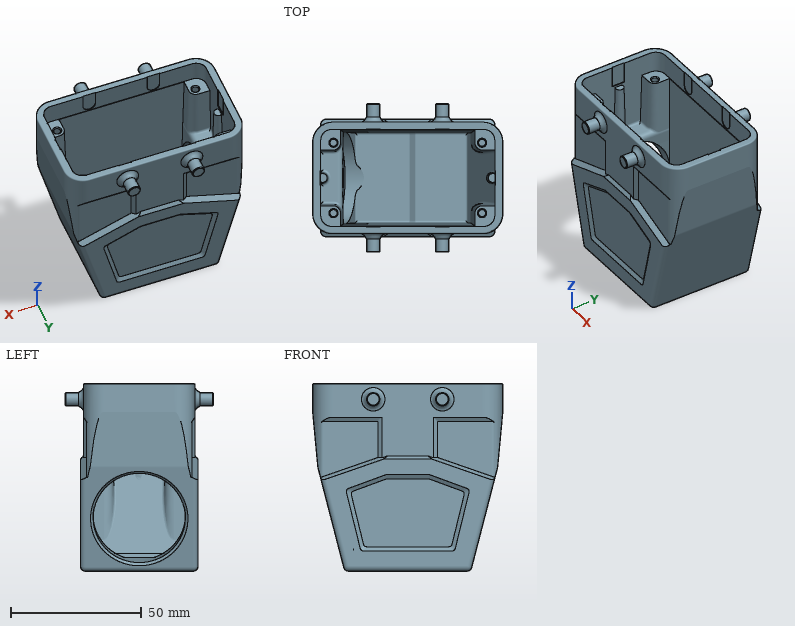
import cadquery as cq
import math

HEIGHT = 72.0
UPPER_HALF_X = 36.5
UPPER_HALF_Y = 21.4
UPPER_CORNER_R = 7.7
RIM_FILLET = 0.5
TAPER_START_Z = 61.0
TAPER_BEND_Z = 40.0
TAPER_BEND_R = 4.4
BOTTOM_HALF_X = 24.2
END_SLOPE = 0.2586

BLOCK_HALF_Y = 22.6
BLOCK_TOP_Z = 44.3
BLOCK_TOP_HALF_X = 9.6
SHOULDER_Z = 36.0
SHOULDER_HALF_X = BOTTOM_HALF_X + END_SLOPE * SHOULDER_Z
SHOULDER_ANGLE = math.degrees(
    math.atan((BLOCK_TOP_Z - SHOULDER_Z) / (SHOULDER_HALF_X - BLOCK_TOP_HALF_X))
)
SHOULDER_BEVEL = 1.3
BLOCK_EDGE_FILLET = 2.0

RECESS_DEPTH = 1.1
RECESS_BEVEL = 1.6
RECESS_FLOOR_Y = UPPER_HALF_Y - RECESS_DEPTH
RECESS_ANGLE = math.degrees(math.atan(RECESS_BEVEL / RECESS_DEPTH))
UPPER_RECESS_INNER_X = 9.8
UPPER_RECESS_TOP_Z = 59.1
RECESS_CORNER_R = 0.8
RECESS_OUTER_R = 1.5
PANEL_TOP_Z = 37.1
PANEL_TOP_HALF_X = 8.3
PANEL_SHOULDER_Z = 31.4
PANEL_SHOULDER_HALF_X = 23.8
PANEL_BOTTOM_Z = 7.8
PANEL_BOTTOM_HALF_X = 18.0
PANEL_CORNER_R = 2.5

PIN_X = 13.25
PIN_Z = 66.0
PIN_R = 2.55
PIN_TIP_Y = 28.5
PIN_TIP_CHAMFER = 0.3
PIN_FLARE_R = 4.5
PIN_FLARE_TOP_R = 3.9
PIN_FLARE_TOP_Y = 21.7
PIN_NECK_R = 2.95
PIN_NECK_Y = 22.9
PIN_NECK_END_Y = 23.4
PIN_SEAT_DEPTH = 0.2

MOUTH_HALF_X = 33.4
MOUTH_HALF_Y = 18.6
MOUTH_CORNER_R = 4.2
POST_TOP_Z = 63.0
CAVITY_TOP_HALF_Y = 18.4
CAVITY_FLOOR_HALF_Y = 17.2
FLOOR_LOW_Z = 5.2
FLOOR_HIGH_Z = 6.9
FLOOR_STEP_START_X = 0.8
FLOOR_STEP_END_X = 3.0
FLOOR_FILLET = 0.8
PLAIN_END_FLOOR_X = 22.9
ENTRY_END_FLOOR_X = -20.0
ENTRY_WALL_X = -24.9
LEDGE_Z = 41.0
LEDGE_FILLET = 2.0
ROOT_FILLET = 1.0

POST_FACE_X = 25.8
POST_FACE_Y = 10.7
POST_CORNER_R = 2.8
POST_DRAFT = 1.8
SCREW_X = 28.5
SCREW_Y = 13.5
SCREW_HOLE_D = 2.7
SCREW_MOUTH_D = 3.5
SCREW_HOLE_DEPTH = 15.0

RIB_X = 32.6
RIB_TOP_Z = 62.1
RIB_FOOT_Z = 28.0
RIB_TOP_R = 1.7
RIB_FOOT_R = 2.6
RIB_SEAT_WIDTH = 5.4
RIB_SEAT_DEPTH = 0.3

ENTRY_D = 35.4
ENTRY_Z = 20.2
ENTRY_CHAMFER = 1.0
ENTRY_DEPTH = 14.0
CLEARANCE = 2.0


def end_x(z):
    """Half length of the lower, steeply leaning part of the body at height z."""
    return BOTTOM_HALF_X + END_SLOPE * z


def mirrored(right_points):
    """Closed outline from its +X half, listed from bottom to top."""
    return right_points + [(-x, z) for x, z in reversed(right_points)]


def side_prism(points, half_y):
    """XZ outline extruded to both sides of Y = 0."""
    return cq.Workplane("XZ").polyline(points).close().extrude(half_y, both=True)


def side_plane(side, half_y):
    """Sketch plane on a long side of the body, facing outward, with its second axis along Z."""
    return cq.Workplane(cq.Plane((0, side * half_y, 0), (-side, 0, 0), (0, side, 0)))


def upper_body():
    body = (
        cq.Workplane("XY")
        .rect(2 * UPPER_HALF_X, 2 * UPPER_HALF_Y)
        .extrude(HEIGHT)
        .edges("|Z")
        .fillet(UPPER_CORNER_R)
    )
    envelope = mirrored(
        [
            (BOTTOM_HALF_X, 0),
            (end_x(TAPER_BEND_Z), TAPER_BEND_Z),
            (UPPER_HALF_X, TAPER_START_Z),
            (UPPER_HALF_X, HEIGHT),
        ]
    )
    foot = cq.Workplane("XY").box(
        2 * UPPER_HALF_X, 2 * BLOCK_HALF_Y, BLOCK_EDGE_FILLET, centered=(True, True, False)
    )
    prism = side_prism(envelope, BLOCK_HALF_Y)
    for end in (1, -1):
        bend = (end * end_x(TAPER_BEND_Z), 0, TAPER_BEND_Z)
        bend_edge = cq.selectors.NearestToPointSelector(bend)
        prism = prism.edges("|Y").edges(bend_edge).fillet(TAPER_BEND_R)
    body = body.intersect(prism).cut(foot)
    return body.faces(">Z").edges().fillet(RIM_FILLET)


def shoulder_bevel(depth, angle, end_of_slope):
    """Wedge along a top edge of the +Y face, tilted by angle about the edge's corner point."""
    section = [
        (BLOCK_HALF_Y, -SHOULDER_BEVEL),
        (BLOCK_HALF_Y + CLEARANCE, -SHOULDER_BEVEL),
        (BLOCK_HALF_Y + CLEARANCE, CLEARANCE),
        (BLOCK_HALF_Y - depth, CLEARANCE),
        (BLOCK_HALF_Y - depth, 0),
    ]
    wedge = cq.Workplane("YZ").polyline(section).close().extrude(UPPER_HALF_X, both=True)
    return wedge.rotate((0, 0, 0), (0, 1, 0), angle).translate((end_of_slope, 0, BLOCK_TOP_Z))


def lower_block():
    outline = mirrored(
        [(BOTTOM_HALF_X, 0), (SHOULDER_HALF_X, SHOULDER_Z), (BLOCK_TOP_HALF_X, BLOCK_TOP_Z)]
    )
    block = side_prism(outline, BLOCK_HALF_Y)
    rounding = cq.selectors.BoxSelector(
        (-UPPER_HALF_X, -UPPER_HALF_X, -CLEARANCE),
        (UPPER_HALF_X, UPPER_HALF_X, SHOULDER_Z - CLEARANCE),
    )
    block = block.edges(rounding).fillet(BLOCK_EDGE_FILLET)
    bevels = [shoulder_bevel(BLOCK_HALF_Y - UPPER_HALF_Y, 0, 0)]
    for end in (1, -1):
        bevels.append(
            shoulder_bevel(
                BLOCK_HALF_Y - RECESS_FLOOR_Y, end * SHOULDER_ANGLE, end * BLOCK_TOP_HALF_X
            )
        )
    for bevel in bevels:
        block = block.cut(bevel).cut(bevel.mirror("XZ"))
    return block


def panel_recess(side):
    """Bevelled panel sunk in one long face of the lower block."""
    outline = mirrored(
        [
            (PANEL_BOTTOM_HALF_X, PANEL_BOTTOM_Z),
            (PANEL_SHOULDER_HALF_X, PANEL_SHOULDER_Z),
            (PANEL_TOP_HALF_X, PANEL_TOP_Z),
        ]
    )
    return (
        side_plane(side, BLOCK_HALF_Y)
        .polyline(outline)
        .close()
        .extrude(-RECESS_DEPTH, taper=RECESS_ANGLE)
        .edges("not #Y")
        .fillet(PANEL_CORNER_R)
    )


def upper_recess(side, end):
    """Bevelled step beside the pins, running off the rounded corner."""
    inner_corner = (end * UPPER_RECESS_INNER_X, side * UPPER_HALF_Y, UPPER_RECESS_TOP_Z)
    inner_x = -side * end * UPPER_RECESS_INNER_X
    outer_x = -side * end * 2 * UPPER_HALF_X
    return (
        side_plane(side, UPPER_HALF_Y)
        .polyline(
            [
                (inner_x, 0),
                (outer_x, 0),
                (outer_x, UPPER_RECESS_TOP_Z),
                (inner_x, UPPER_RECESS_TOP_Z),
            ]
        )
        .close()
        .extrude(-RECESS_DEPTH, taper=RECESS_ANGLE)
        .edges("not #Y")
        .edges(cq.selectors.NearestToPointSelector(inner_corner))
        .fillet(RECESS_CORNER_R)
    )


def pin(side, x):
    """Locking pin with a flared root, turned about an axis along Y."""
    root_y = UPPER_HALF_Y - CLEARANCE
    mid_r = (2 * PIN_NECK_R + PIN_FLARE_TOP_R) / 3
    mid_y = (PIN_FLARE_TOP_Y + PIN_NECK_Y) / 2
    profile = (
        cq.Workplane("XY")
        .moveTo(0, root_y)
        .lineTo(PIN_FLARE_R, root_y)
        .lineTo(PIN_FLARE_R, UPPER_HALF_Y)
        .lineTo(PIN_FLARE_TOP_R, PIN_FLARE_TOP_Y)
        .threePointArc((mid_r, mid_y), (PIN_NECK_R, PIN_NECK_Y))
        .lineTo(PIN_R, PIN_NECK_END_Y)
        .lineTo(PIN_R, PIN_TIP_Y - PIN_TIP_CHAMFER)
        .lineTo(PIN_R - PIN_TIP_CHAMFER, PIN_TIP_Y)
        .lineTo(0, PIN_TIP_Y)
        .close()
    )
    turned = profile.revolve(360, (0, 0), (0, 1))
    if side < 0:
        turned = turned.mirror("XZ")
    return turned.translate((x, 0, PIN_Z))


def pin_seat(side, x):
    """Shallow round-ended groove in the mouth wall behind a pin."""
    groove = side_plane(side, MOUTH_HALF_Y + PIN_SEAT_DEPTH).center(x, PIN_Z)
    depth = -PIN_SEAT_DEPTH - CLEARANCE
    rise = HEIGHT - PIN_Z + CLEARANCE
    slot = groove.rect(2 * PIN_R, rise).extrude(depth).translate((0, 0, rise / 2))
    return slot.union(groove.circle(PIN_R).extrude(depth))


def post(side_x, side_y):
    """Drafted corner post; it thickens downward and dies into the walls."""
    far = 2 * UPPER_HALF_X
    width = far - POST_FACE_X
    depth = far - POST_FACE_Y
    return (
        cq.Workplane("XY", origin=(0, 0, POST_TOP_Z))
        .center(side_x * (POST_FACE_X + width / 2), side_y * (POST_FACE_Y + depth / 2))
        .sketch()
        .rect(width, depth)
        .vertices()
        .fillet(POST_CORNER_R)
        .finalize()
        .extrude(-POST_TOP_Z, taper=-POST_DRAFT)
    )


def guide_rib(side_x):
    cone = cq.Solid.makeCone(RIB_FOOT_R, RIB_TOP_R, RIB_TOP_Z - RIB_FOOT_Z)
    return cq.Workplane(cone.translate(cq.Vector(side_x * RIB_X, 0, RIB_FOOT_Z)))


def rib_seats():
    """Shallow grooves in the end walls of the mouth, one above each guide rib."""
    length = 2 * (MOUTH_HALF_X + RIB_SEAT_DEPTH)
    return cq.Workplane("XY", origin=(0, 0, POST_TOP_Z)).rect(length, RIB_SEAT_WIDTH).extrude(HEIGHT)


def cavity_profile():
    """Lower cavity seen along Y: stepped floor, leaning ends and a ledge over the cable entry."""
    plain_end_top_z = FLOOR_HIGH_Z + (MOUTH_HALF_X - PLAIN_END_FLOOR_X) / END_SLOPE
    entry_wall_foot_z = FLOOR_LOW_Z + (ENTRY_END_FLOOR_X - ENTRY_WALL_X) / END_SLOPE
    return [
        (ENTRY_END_FLOOR_X, FLOOR_LOW_Z),
        (FLOOR_STEP_START_X, FLOOR_LOW_Z),
        (FLOOR_STEP_END_X, FLOOR_HIGH_Z),
        (PLAIN_END_FLOOR_X, FLOOR_HIGH_Z),
        (MOUTH_HALF_X, plain_end_top_z),
        (MOUTH_HALF_X, POST_TOP_Z),
        (-MOUTH_HALF_X, POST_TOP_Z),
        (-MOUTH_HALF_X, LEDGE_Z),
        (ENTRY_WALL_X, LEDGE_Z),
        (ENTRY_WALL_X, entry_wall_foot_z),
    ]


def cavity():
    ledge_edge = cq.selectors.NearestToPointSelector((ENTRY_WALL_X, 0, LEDGE_Z))
    lower = side_prism(cavity_profile(), UPPER_HALF_Y).edges(ledge_edge).fillet(LEDGE_FILLET)
    cross_section = (
        cq.Workplane("YZ")
        .polyline(
            mirrored([(CAVITY_FLOOR_HALF_Y, FLOOR_LOW_Z), (CAVITY_TOP_HALF_Y, POST_TOP_Z)])
        )
        .close()
        .extrude(UPPER_HALF_X, both=True)
    )
    lower = lower.intersect(cross_section)
    floor_edges = cq.selectors.BoxSelector(
        (-UPPER_HALF_X, -UPPER_HALF_Y, 0),
        (UPPER_HALF_X, UPPER_HALF_Y, FLOOR_HIGH_Z + CLEARANCE),
    )
    lower = lower.edges(floor_edges).fillet(FLOOR_FILLET)
    for side_x in (1, -1):
        lower = lower.cut(guide_rib(side_x))
        for side_y in (1, -1):
            lower = lower.cut(post(side_x, side_y))
    leaning_wall_roots = cq.selectors.BoxSelector(
        (POST_FACE_X, -POST_FACE_Y, FLOOR_HIGH_Z),
        (MOUTH_HALF_X - FLOOR_FILLET, POST_FACE_Y, LEDGE_Z + CLEARANCE),
    )
    ledge_roots = cq.selectors.BoxSelector(
        (-UPPER_HALF_X, -UPPER_HALF_Y, LEDGE_Z - ROOT_FILLET / 2),
        (ENTRY_WALL_X - LEDGE_FILLET, UPPER_HALF_Y, LEDGE_Z + ROOT_FILLET / 2),
    )
    for roots in (leaning_wall_roots, ledge_roots):
        lower = lower.edges(roots).fillet(ROOT_FILLET)
    mouth = (
        cq.Workplane("XY", origin=(0, 0, POST_TOP_Z))
        .rect(2 * MOUTH_HALF_X, 2 * MOUTH_HALF_Y)
        .extrude(HEIGHT - POST_TOP_Z + CLEARANCE)
        .edges("|Z")
        .fillet(MOUTH_CORNER_R)
    )
    return lower.union(mouth).union(rib_seats())


def screw_hole(side_x, side_y):
    lead_in = (SCREW_MOUTH_D - SCREW_HOLE_D) / 2
    top = cq.Workplane("XY", origin=(side_x * SCREW_X, side_y * SCREW_Y, POST_TOP_Z))
    hole = top.circle(SCREW_HOLE_D / 2).extrude(-SCREW_HOLE_DEPTH)
    return hole.union(top.circle(SCREW_MOUTH_D / 2).extrude(-lead_in, taper=45))


def cable_entry():
    """Chamfered round opening, square to the leaning wall."""
    inward = cq.Vector(1, 0, END_SLOPE).normalized()
    center = cq.Vector(-end_x(ENTRY_Z), 0, ENTRY_Z)
    radius = ENTRY_D / 2
    start = center - inward * CLEARANCE
    bore = cq.Solid.makeCylinder(radius, CLEARANCE + ENTRY_DEPTH, start, inward)
    chamfer = cq.Solid.makeCone(radius + ENTRY_CHAMFER, radius, ENTRY_CHAMFER, center, inward)
    return cq.Workplane(bore).union(cq.Workplane(chamfer))


def hood():
    upper = upper_body()
    for side in (1, -1):
        for end in (1, -1):
            upper = upper.cut(upper_recess(side, end))
            outer_edge = (end * UPPER_HALF_X, side * RECESS_FLOOR_Y, UPPER_RECESS_TOP_Z / 2)
            nearest = cq.selectors.NearestToPointSelector(outer_edge)
            upper = upper.edges("|Z").edges(nearest).fillet(RECESS_OUTER_R)
    body = upper.union(lower_block())
    for side in (1, -1):
        body = body.cut(panel_recess(side))
        for end in (1, -1):
            body = body.union(pin(side, end * PIN_X))
    body = body.cut(cavity()).cut(cable_entry())
    for side in (1, -1):
        for end in (1, -1):
            body = body.cut(pin_seat(side, end * PIN_X)).cut(screw_hole(end, side))
    return body


result = hood()